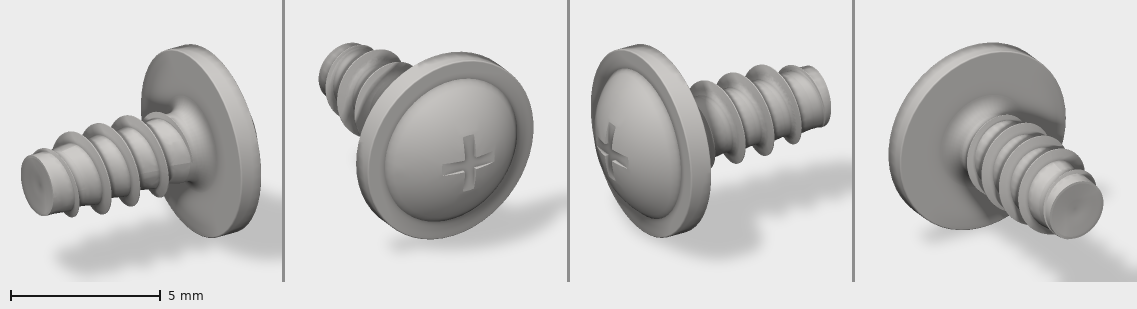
import cadquery as cq
import math


total_length = 8.07
shank_length = 6.005
flange_radius = 6.5 / 2
flange_thickness = 0.8
flange_edge_radius = 0.05
dome_base_radius = 2.59
slot_width = 0.435
slot_depth = 0.15

neck_radius = 1.18
neck_fillet = 0.49
neck_length = 0.74
neck_cone_length = 0.67
core_radius = 1.04
dimple_radius = 0.97
dimple_depth = 0.12

pitch = 1.12
thread_start = 0.68
run_in_turns = 1.0
full_turns = 2.25
run_out_turns = 1.45
start_crest_radius = 1.28
crest_radius = 1.5
shoulder_radius = 1.13
end_crest_radius = 1.065
end_shoulder_radius = 1.065
start_width_share = 0.2
end_width_share = 0.1
root_sink = 0.16

leading_foot = 0.23
leading_knee = 0.07
fillet_mid_offset = 0.14
trailing_foot = 0.13
shoulder_end = 0.72
tail_overrun = 0.065
crest_half_width = 0.02

fillet_mid_share = 0.14
knee_share = 0.46
foot_sink = 0.01

top_y = total_length - shank_length
corner_radius = slot_width / math.sqrt(2)


def make_body():
    """Head, neck and plain core, revolved about the axis."""
    rise = top_y - flange_thickness
    center_y = flange_thickness + (corner_radius**2 + rise**2 - dome_base_radius**2) / (2 * rise)
    sphere_radius = math.hypot(dome_base_radius, center_y - flange_thickness)
    apex_y = center_y + sphere_radius
    mid_angle = 0.5 * math.asin(dome_base_radius / sphere_radius)
    dome_mid = (sphere_radius * math.sin(mid_angle), center_y + sphere_radius * math.cos(mid_angle))
    fillet_mid = neck_fillet * (1 - math.sqrt(0.5))
    edge = flange_edge_radius
    edge_mid = edge * (1 - math.sqrt(0.5))
    return (
        cq.Workplane("XY")
        .moveTo(0, apex_y)
        .threePointArc(dome_mid, (dome_base_radius, flange_thickness))
        .lineTo(flange_radius - edge, flange_thickness)
        .threePointArc(
            (flange_radius - edge_mid, flange_thickness - edge_mid),
            (flange_radius, flange_thickness - edge),
        )
        .lineTo(flange_radius, edge)
        .threePointArc((flange_radius - edge_mid, edge_mid), (flange_radius - edge, 0))
        .lineTo(neck_radius + neck_fillet, 0)
        .threePointArc((neck_radius + fillet_mid, -fillet_mid), (neck_radius, -neck_fillet))
        .lineTo(neck_radius, -neck_length)
        .lineTo(core_radius, -neck_length - neck_cone_length)
        .lineTo(core_radius, -shank_length)
        .lineTo(0, -shank_length)
        .close()
        .revolve(360, (0, 0, 0), (0, 1, 0))
    )


def thread_section(turn, crest, shoulder, width_share):
    """Thread outline in the axial plane reached after the given number of turns."""
    angle = 2 * math.pi * turn
    base = thread_start + pitch * turn
    fin_height = crest - core_radius
    tail_slope = (shoulder - core_radius) / (shoulder_end - trailing_foot)
    root = core_radius - root_sink

    def place(radius, offset):
        return cq.Vector(radius * math.cos(angle), radius * math.sin(angle), base + offset)

    foot = place(core_radius - foot_sink, -leading_foot * width_share)
    fillet_mid = place(core_radius + fillet_mid_share * fin_height, -fillet_mid_offset * width_share)
    knee = place(core_radius + knee_share * fin_height, -leading_knee * width_share)
    straight_side = [
        knee,
        place(crest, -crest_half_width * width_share),
        place(crest, crest_half_width * width_share),
        place(shoulder, trailing_foot * width_share),
        place(core_radius - tail_slope * tail_overrun, shoulder_end + tail_overrun),
        place(root, shoulder_end),
        place(root, -leading_foot * width_share),
        foot,
    ]
    edges = [cq.Edge.makeThreePointArc(foot, fillet_mid, knee)]
    for start, end in zip(straight_side, straight_side[1:]):
        edges.append(cq.Edge.makeLine(start, end))
    return cq.Wire.assembleEdges(edges)


def thread_stretch(first_turn, turns, first_shape, last_shape):
    """Thread over some turns, blending from one (crest, shoulder, width share) to another."""
    path = cq.Wire.makeHelix(pitch, pitch * turns, core_radius)
    path = path.rotate(cq.Vector(0, 0, 0), cq.Vector(0, 0, 1), 360 * first_turn)
    path = path.translate(cq.Vector(0, 0, thread_start + pitch * first_turn))
    sections = [
        thread_section(first_turn, *first_shape),
        thread_section(first_turn + turns, *last_shape),
    ]
    return cq.Solid.sweep_multi(sections, path, True, True)


def make_thread():
    """Run-in, full thread and run-out, wound about Z and then turned onto the shank."""
    start = (start_crest_radius, shoulder_radius, start_width_share)
    full = (crest_radius, shoulder_radius, 1)
    faded = (end_crest_radius, end_shoulder_radius, end_width_share)
    run_out_start = run_in_turns + full_turns
    stretches = [
        thread_stretch(0, run_in_turns, start, full),
        thread_stretch(run_in_turns, full_turns, full, full),
        thread_stretch(run_out_start, run_out_turns, full, faded),
    ]
    thread = cq.Workplane("XY")
    for stretch in stretches:
        thread = thread.add(stretch)
    return thread.combine().rotate((0, 0, 0), (1, 0, 0), 90)


def make_slots():
    """Two crossing driver slots over the top of the dome."""
    span = 2 * dome_base_radius
    height = 2 * slot_depth
    slot = cq.Workplane("XY").box(span, height, slot_width)
    cross = slot.union(slot.rotate((0, 0, 0), (0, 1, 0), 90))
    return cross.translate((0, top_y, 0))


def make_end_trim():
    """Everything past the shank end that the thread may reach."""
    block_width = 4 * crest_radius
    trim = cq.Workplane("XY").box(block_width, pitch, block_width)
    return trim.translate((0, -shank_length - pitch / 2, 0))


def make_dimple():
    """Shallow cone sunk into the end face of the shank."""
    return (
        cq.Workplane("XY")
        .moveTo(0, -shank_length + dimple_depth)
        .lineTo(dimple_radius, -shank_length)
        .lineTo(0, -shank_length)
        .close()
        .revolve(360, (0, 0, 0), (0, 1, 0))
    )


thread = make_thread().cut(make_end_trim())
result = make_body().union(thread).cut(make_slots()).cut(make_dimple())